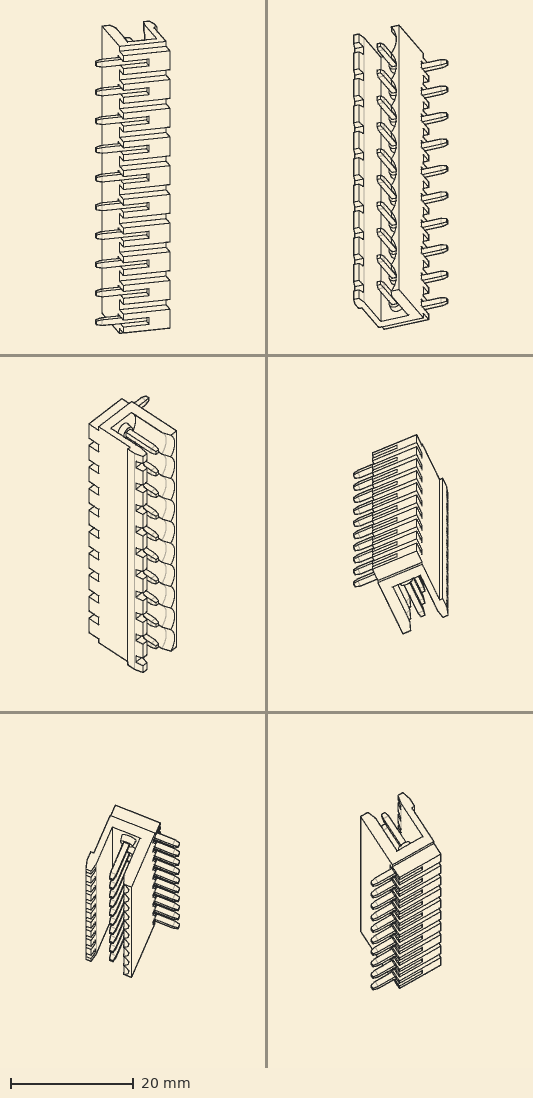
import cadquery as cq
import math

pin_count = 10
length = 50.0
pitch = length / pin_count
pin_heights = [pitch * (index + 0.5) for index in range(pin_count)]

depth = 12.2
rear_face = 10.0
rear_wall_top = 7.95
cavity_floor = 8.3
front_wall = 1.95
cavity_top = 6.85
tab_width = 3.3

lip_top = 8.5
lip_end = 3.05
lead_in = 1.5
lip_tip_top = 8.1
lip_tip_bottom = 7.15
notch_depth = 1.3
notch_floor_width = 1.4
notch_mouth_width = 1.8

pin_size = 1.0
pin_tip_size = 0.65
pin_tip_length = 0.9
pin_axis = 3.9
pin_front = 0.7
tail_axis = 10.3
tail_end = -4.1
collar_front = 7.2
collar_base_radius = 1.25
collar_tip_radius = 1.05

slot_front = 9.2
slot_width = 1.2
slot_top = pin_axis + pin_size / 2

scallop_wall = 0.9
scallop_sagitta = front_wall - scallop_wall
scallop_radius = ((pitch / 2) ** 2 + scallop_sagitta**2) / (2 * scallop_sagitta)
scallop_axis = scallop_wall + scallop_radius
mouth_flare = 0.4


def block(x_range, y_range, z_range):
    """Box spanning the given coordinate ranges."""
    (x0, x1), (y0, y1), (z0, z1) = x_range, y_range, z_range
    return cq.Workplane("XY").box(x1 - x0, y1 - y0, z1 - z0, centered=False).translate((x0, y0, z0))


def slab(x_range, y_range, z_center, width):
    """Box centred on a height along the row."""
    return block(x_range, y_range, (z_center - width / 2, z_center + width / 2))


def turned(profile, axis_y, z):
    """Solid of revolution about an axis along X, from (x, radius) points."""
    points = [(x, axis_y + radius) for x, radius in profile]
    turning = cq.Workplane("XY").workplane(offset=z).polyline(points).close()
    return turning.revolve(360, (0, axis_y, 0), (1, axis_y, 0))


def housing_channel():
    """U-shaped channel with a tapered mouth and a latching lip."""
    outline = [
        (0, 0),
        (rear_face, 0),
        (rear_face, rear_wall_top),
        (lip_end, rear_wall_top),
        (lip_end, lip_top),
        (lead_in, lip_top),
        (0, lip_tip_top),
        (0, lip_tip_bottom),
        (lead_in, cavity_top),
        (cavity_floor, cavity_top),
        (cavity_floor, front_wall),
        (0, front_wall),
    ]
    return cq.Workplane("XY").polyline(outline).close().extrude(length)


def scallop(z):
    """Round recess in the front wall, flaring towards the mouth."""
    recess = turned(
        [
            (0, 0),
            (0, scallop_radius + mouth_flare),
            (lead_in, scallop_radius),
            (cavity_floor, scallop_radius),
            (cavity_floor, 0),
        ],
        scallop_axis,
        z,
    )
    return recess.intersect(block((0, depth), (0, pin_axis), (0, length)))


def lip_notch(z):
    """Coding notch across the lip, slightly wider at its mouth."""
    outline = [
        (0, z - notch_mouth_width / 2),
        (notch_depth, z - notch_floor_width / 2),
        (notch_depth, z + notch_floor_width / 2),
        (0, z + notch_mouth_width / 2),
    ]
    notch = cq.Workplane("XZ", origin=(0, lip_top, 0)).polyline(outline).close()
    return notch.extrude(lip_top - pin_axis)


def tapered_tip(plane, origin, reach):
    """Square pin end narrowing over a signed reach along the normal of its plane."""
    base = cq.Workplane(plane, origin=origin).rect(pin_size, pin_size)
    return base.workplane(offset=reach).rect(pin_tip_size, pin_tip_size).loft()


def pin(z):
    """Right-angle square pin with tapered ends."""
    half = pin_size / 2
    leg_front = pin_front + pin_tip_length
    tail_start = tail_end + pin_tip_length
    leg = slab((leg_front, tail_axis + half), (pin_axis - half, pin_axis + half), z, pin_size)
    tail = slab((tail_axis - half, tail_axis + half), (tail_start, pin_axis), z, pin_size)
    leg_tip = tapered_tip("YZ", (leg_front, pin_axis, z), -pin_tip_length)
    tail_tip = tapered_tip("XZ", (tail_axis, tail_start, z), pin_tip_length)
    return leg.union(tail).union(leg_tip).union(tail_tip)


def collar(z):
    """Conical collar around a pin on the cavity floor."""
    return turned(
        [
            (collar_front, 0),
            (collar_front, collar_tip_radius),
            (cavity_floor, collar_base_radius),
            (cavity_floor, 0),
        ],
        pin_axis,
        z,
    )


result = housing_channel()
for height in pin_heights:
    result = result.cut(scallop(height)).cut(lip_notch(height))
    result = result.union(slab((rear_face, depth), (0, rear_wall_top), height, tab_width))
    result = result.cut(slab((slot_front, depth), (0, slot_top), height, slot_width))

for height in pin_heights:
    result = result.union(collar(height)).union(pin(height))